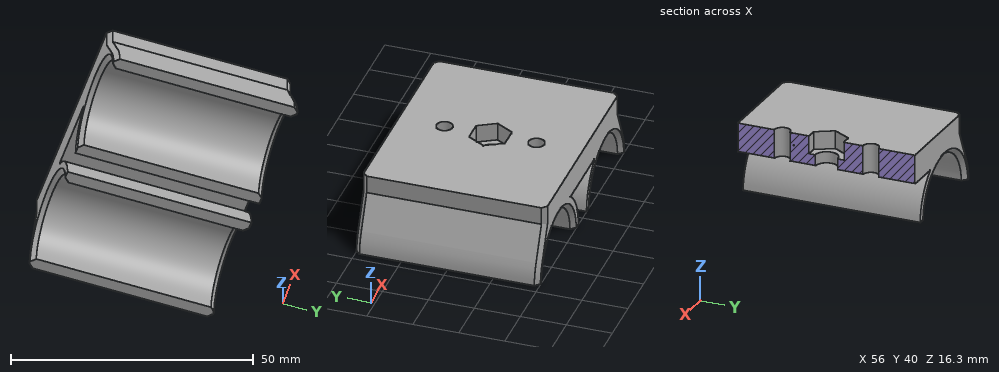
import cadquery as cq
import math

length = 40.0
tube_spacing = 30.5
bore_radius = 10.25
wall = 2.5
plate_thickness = 6.5
plate_width = 46.75
plate_side_height = 4.0
foot_trim = 0.5
edge_chamfer = 1.0

screw_spacing = 20.0
screw_hole_diameter = 3.5
bolt_hole_diameter = 5.0
nut_sides = 6
nut_across_corners = 9.0
nut_pocket_depth = 4.0

tube_x = tube_spacing / 2
axis_z = -foot_trim
outer_radius = bore_radius + wall
plate_bottom = axis_z + bore_radius
plate_top = plate_bottom + plate_thickness
shoulder_x = plate_width / 2
shoulder_z = plate_top - plate_side_height


def cradle_point(radius, angle, side):
    """Point on a cradle circle; angle is measured up from the outward horizontal."""
    x = side * (tube_x + radius * math.cos(angle))
    return x, axis_z + radius * math.sin(angle)


foot_angle = math.asin(foot_trim / outer_radius)

shoulder_distance = math.hypot(shoulder_x - tube_x, shoulder_z - axis_z)
shoulder_angle = math.atan2(shoulder_z - axis_z, shoulder_x - tube_x)
tangent_angle = shoulder_angle - math.acos(outer_radius / shoulder_distance)


def make_envelope():
    """Outside shape filled between the flanks, with its upright end edges chamfered."""
    middle = (foot_angle + tangent_angle) / 2
    outline = (
        cq.Workplane("XZ", origin=(0, length / 2, 0))
        .moveTo(*cradle_point(outer_radius, foot_angle, -1))
        .threePointArc(
            cradle_point(outer_radius, middle, -1),
            cradle_point(outer_radius, tangent_angle, -1),
        )
        .lineTo(-shoulder_x, shoulder_z)
        .lineTo(-shoulder_x, plate_top)
        .lineTo(shoulder_x, plate_top)
        .lineTo(shoulder_x, shoulder_z)
        .lineTo(*cradle_point(outer_radius, tangent_angle, 1))
        .threePointArc(
            cradle_point(outer_radius, middle, 1),
            cradle_point(outer_radius, foot_angle, 1),
        )
        .close()
        .extrude(length)
    )
    end_edges = outline.faces("<Y or >Y").edges("not(<Z or >Z)")
    return end_edges.chamfer(edge_chamfer)


def make_gap():
    """Space under the plate between the two cradles."""
    top = math.asin(bore_radius / outer_radius)
    middle = (foot_angle + top) / 2
    left_foot, left_middle, left_top = (
        cradle_point(outer_radius, math.pi - angle, -1) for angle in (foot_angle, middle, top)
    )
    right_foot, right_middle, right_top = (
        cradle_point(outer_radius, math.pi - angle, 1) for angle in (foot_angle, middle, top)
    )
    return (
        cq.Workplane("XZ", origin=(0, length / 2, 0))
        .moveTo(*left_foot)
        .threePointArc(left_middle, left_top)
        .lineTo(*right_top)
        .threePointArc(right_middle, right_foot)
        .close()
        .extrude(length)
    )


def make_bore(x):
    """Tube bore along Y, flared at both ends by the edge chamfer."""
    bore = (
        cq.Workplane("XZ", origin=(x, length / 2, axis_z))
        .circle(bore_radius)
        .extrude(length)
    )
    for end in (-1, 1):
        flare = cq.Solid.makeCone(
            bore_radius + edge_chamfer,
            bore_radius,
            edge_chamfer,
            pnt=cq.Vector(x, end * length / 2, axis_z),
            dir=cq.Vector(0, -end, 0),
        )
        bore = bore.union(flare)
    return bore


def make_fastener_cuts():
    """Two screw holes and a central bolt hole with a hexagonal nut pocket in the top."""
    above_gap = cq.Workplane("XY", origin=(0, 0, plate_bottom))
    screws = (
        above_gap.pushPoints([(0, -screw_spacing / 2), (0, screw_spacing / 2)])
        .circle(screw_hole_diameter / 2)
        .extrude(plate_thickness)
    )
    bolt = above_gap.circle(bolt_hole_diameter / 2).extrude(plate_thickness)
    nut_pocket = (
        cq.Workplane("XY", origin=(0, 0, plate_top))
        .polygon(nut_sides, nut_across_corners)
        .extrude(-nut_pocket_depth)
    )
    return screws.union(bolt).union(nut_pocket)


result = make_envelope().cut(make_gap())
for side in (-1, 1):
    result = result.cut(make_bore(side * tube_x))
result = result.cut(make_fastener_cuts())